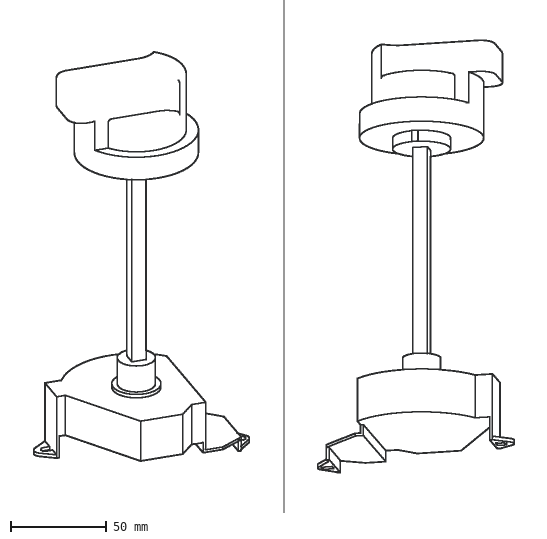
import cadquery as cq
import math

FOOT_THICKNESS = 2.0
SHELF_BOTTOM = 6.6
BASE_BOTTOM = 12.5
BASE_TOP = 36.0
WASHER_TOP = 38.0
BOSS_TOP = 53.1
COLLAR_BOTTOM = 167.0
FLANGE_BOTTOM = 173.0
FLANGE_TOP = 186.2
BARREL_TOP = 203.0
KNOB_TOP = 220.5

BASE_RADIUS = 40.1
BASE_BACK = 27.8
BASE_RIGHT = 38.8
FLANK_X = 29.8
FLANK_FRONT = 19.8
NOSE_BACK = 11.5
NOSE_FRONT = -12.1
TAB_LEFT = -21.4
TAB_RIGHT = -3.7
TAB_FRONT = -43.2
TAB_INNER = -38.3
WASHER_DIAMETER = 25.8
BOSS_DIAMETER = 20.0

SHEET = 1.5
SHELF_LEFT = -22.0
SHELF_LEFT_BACK = 30.6
SHELF_RIGHT_BACK = 37.2
SHELF_BACK = 50.5
STEP_LEFT = -4.0
STEP_RIGHT = 22.0
REAR_FOOT_LEFT = 0.2
REAR_FOOT_RIGHT = 21.0
REAR_FOOT_X = 11.7
REAR_FOOT_TIP = 58.6
FRONT_FOOT_X = -12.1
FRONT_FOOT_TIP = -52.7
FOOT_TIP_RADIUS = 4.0
SLOT_WIDTH = 4.2
SLOT_TO_TIP_REAR = 2.0
SLOT_TO_TIP_FRONT = 4.0

SHAFT_WIDTH = 8.0

FLANGE_RADIUS = 65.2 / 2
BARREL_RADIUS = 26.2
COLLAR_RADIUS = 15.2
KEY_REACH = 15.6
KEY_WIDTH = 3.3
GRIP_HALF_WIDTH = 15.2
GRIP_FRONT = -41.7
GRIP_CORNER = 8.0
WING_START = 6.6
WING_RADIUS = 13.5
EDGE_ROUND = 1.8


def box(x_min, x_max, y_min, y_max, z_min, z_max):
    """Block given by its limits along each axis."""
    return cq.Workplane("XY").box(
        x_max - x_min, y_max - y_min, z_max - z_min, centered=False
    ).translate((x_min, y_min, z_min))


def disc(radius, z_min, z_max):
    """Cylinder about the shaft axis."""
    return cq.Workplane("XY").workplane(offset=z_min).circle(radius).extrude(z_max - z_min)


def base_block():
    """Thick plate with a round left side, a nose on the right and a tab in front."""
    arc_back_x = -math.sqrt(BASE_RADIUS**2 - BASE_BACK**2)
    arc_front_y = -math.sqrt(BASE_RADIUS**2 - TAB_LEFT**2)
    return (
        cq.Workplane("XY").workplane(offset=BASE_BOTTOM)
        .moveTo(arc_back_x, BASE_BACK)
        .threePointArc((-BASE_RADIUS, 0), (TAB_LEFT, arc_front_y))
        .lineTo(TAB_LEFT, TAB_FRONT)
        .lineTo(TAB_RIGHT, TAB_FRONT)
        .lineTo(TAB_RIGHT, TAB_INNER)
        .lineTo(BASE_RIGHT, NOSE_FRONT)
        .lineTo(BASE_RIGHT, NOSE_BACK)
        .lineTo(FLANK_X, FLANK_FRONT)
        .lineTo(FLANK_X, BASE_BACK)
        .close()
        .extrude(BASE_TOP - BASE_BOTTOM)
    )


def tangent_point(corner, center, radius, side):
    """Point where the line from a corner touches a circle, on the chosen side of it."""
    dx = corner[0] - center[0]
    dy = corner[1] - center[1]
    angle = math.atan2(dy, dx) + side * math.acos(radius / math.hypot(dx, dy))
    return (center[0] + radius * math.cos(angle), center[1] + radius * math.sin(angle))


def foot(left, right, wall_y, tip_x, tip_y, slot_to_tip):
    """Tapered foot with a round tip and a slot that opens at the bracket wall."""
    outward = math.copysign(1, tip_y - wall_y)
    center = (tip_x, tip_y - outward * FOOT_TIP_RADIUS)
    left_touch = tangent_point((left, wall_y), center, FOOT_TIP_RADIUS, -outward)
    right_touch = tangent_point((right, wall_y), center, FOOT_TIP_RADIUS, outward)
    inner_y = wall_y - outward * SHEET
    plate = (
        cq.Workplane("XY").moveTo(left, inner_y)
        .lineTo(left, wall_y)
        .lineTo(*left_touch)
        .threePointArc((tip_x, tip_y), right_touch)
        .lineTo(right, wall_y)
        .lineTo(right, inner_y)
        .close()
        .extrude(FOOT_THICKNESS)
    )
    slot_radius = SLOT_WIDTH / 2
    slot_end = tip_y - outward * slot_to_tip
    shoulder = slot_end - outward * slot_radius
    slot = (
        cq.Workplane("XY").moveTo(tip_x - slot_radius, wall_y)
        .lineTo(tip_x - slot_radius, shoulder)
        .threePointArc((tip_x, slot_end), (tip_x + slot_radius, shoulder))
        .lineTo(tip_x + slot_radius, wall_y)
        .close()
        .extrude(FOOT_THICKNESS)
    )
    return plate.cut(slot)


def rear_bracket():
    """Sheet that steps down twice behind the base and ends in a foot."""
    hanger = box(SHELF_LEFT, FLANK_X, BASE_BACK - SHEET, BASE_BACK, SHELF_BOTTOM, BASE_BOTTOM)
    shelf = (
        cq.Workplane("XY").workplane(offset=SHELF_BOTTOM)
        .moveTo(SHELF_LEFT, BASE_BACK - SHEET)
        .lineTo(SHELF_LEFT, SHELF_LEFT_BACK)
        .lineTo(STEP_LEFT, SHELF_BACK)
        .lineTo(STEP_RIGHT, SHELF_BACK)
        .lineTo(FLANK_X, SHELF_RIGHT_BACK)
        .lineTo(FLANK_X, BASE_BACK - SHEET)
        .close()
        .extrude(SHEET)
    )
    riser = box(STEP_LEFT, STEP_RIGHT, SHELF_BACK - SHEET, SHELF_BACK, 0, SHELF_BOTTOM)
    rear_foot = foot(
        REAR_FOOT_LEFT, REAR_FOOT_RIGHT, SHELF_BACK, REAR_FOOT_X, REAR_FOOT_TIP, SLOT_TO_TIP_REAR
    )
    return hanger.union(shelf).union(riser).union(rear_foot)


def front_bracket():
    """Sheet that drops straight down from the front tab and ends in a foot."""
    wall = box(TAB_LEFT, TAB_RIGHT, TAB_FRONT, TAB_FRONT + SHEET, 0, BASE_BOTTOM)
    front_foot = foot(
        TAB_LEFT, TAB_RIGHT, TAB_FRONT, FRONT_FOOT_X, FRONT_FOOT_TIP, SLOT_TO_TIP_FRONT
    )
    return wall.union(front_foot)


def make_base():
    """Switch base with its boss and two brackets."""
    washer = disc(WASHER_DIAMETER / 2, BASE_TOP, WASHER_TOP)
    boss = disc(BOSS_DIAMETER / 2, BASE_TOP, BOSS_TOP)
    return base_block().union(washer).union(boss).union(rear_bracket()).union(front_bracket())


def make_shaft():
    """Square shaft from the top of the boss to the underside of the knob collar."""
    return (
        cq.Workplane("XY").workplane(offset=BOSS_TOP)
        .rect(SHAFT_WIDTH, SHAFT_WIDTH)
        .extrude(COLLAR_BOTTOM - BOSS_TOP)
    )


def grip_prism(z_min, z_max):
    """Grip outline: straight handle in front, flaring into the barrel circle at the back."""
    flare_x = GRIP_HALF_WIDTH + WING_RADIUS
    distance = math.hypot(flare_x, WING_START)
    along = (BARREL_RADIUS**2 - WING_RADIUS**2 + distance**2) / (2 * distance)
    wing_angle = math.atan2(WING_START, flare_x) + math.acos(along / BARREL_RADIUS)
    wing_x = BARREL_RADIUS * math.cos(wing_angle)
    wing_y = BARREL_RADIUS * math.sin(wing_angle)
    mid_angle = math.atan2(wing_y - WING_START, flare_x - wing_x) / 2
    mid_x = flare_x - WING_RADIUS * math.cos(mid_angle)
    mid_y = WING_START + WING_RADIUS * math.sin(mid_angle)
    corner_x = GRIP_HALF_WIDTH - GRIP_CORNER
    corner_y = GRIP_FRONT + GRIP_CORNER
    bulge = GRIP_CORNER * math.sqrt(0.5)
    return (
        cq.Workplane("XY").workplane(offset=z_min)
        .moveTo(-corner_x, GRIP_FRONT)
        .lineTo(corner_x, GRIP_FRONT)
        .threePointArc((corner_x + bulge, corner_y - bulge), (GRIP_HALF_WIDTH, corner_y))
        .lineTo(GRIP_HALF_WIDTH, WING_START)
        .threePointArc((mid_x, mid_y), (wing_x, wing_y))
        .threePointArc((0, BARREL_RADIUS), (-wing_x, wing_y))
        .threePointArc((-mid_x, mid_y), (-GRIP_HALF_WIDTH, WING_START))
        .lineTo(-GRIP_HALF_WIDTH, corner_y)
        .threePointArc((-corner_x - bulge, corner_y - bulge), (-corner_x, GRIP_FRONT))
        .close()
        .extrude(z_max - z_min)
    )


def make_knob():
    """Rotary knob: keyed collar, flange, barrel and an overhanging grip."""
    collar = disc(COLLAR_RADIUS, COLLAR_BOTTOM, FLANGE_BOTTOM)
    key = box(-KEY_REACH, 0, -KEY_WIDTH / 2, KEY_WIDTH / 2, COLLAR_BOTTOM, FLANGE_BOTTOM)
    flange = disc(FLANGE_RADIUS, FLANGE_BOTTOM, FLANGE_TOP)
    barrel = disc(BARREL_RADIUS, FLANGE_TOP, BARREL_TOP).faces(">Z").edges().fillet(EDGE_ROUND)
    grip_root = grip_prism(FLANGE_TOP, BARREL_TOP).intersect(
        disc(FLANGE_RADIUS, FLANGE_TOP, BARREL_TOP)
    )
    grip = grip_prism(BARREL_TOP, KNOB_TOP).faces(">Z").edges().fillet(EDGE_ROUND)
    return flange.union(collar).union(key).union(barrel).union(grip_root).union(grip)


base = make_base()
shaft = make_shaft()
knob = make_knob()
result = cq.Compound.makeCompound([base.val(), shaft.val(), knob.val()])